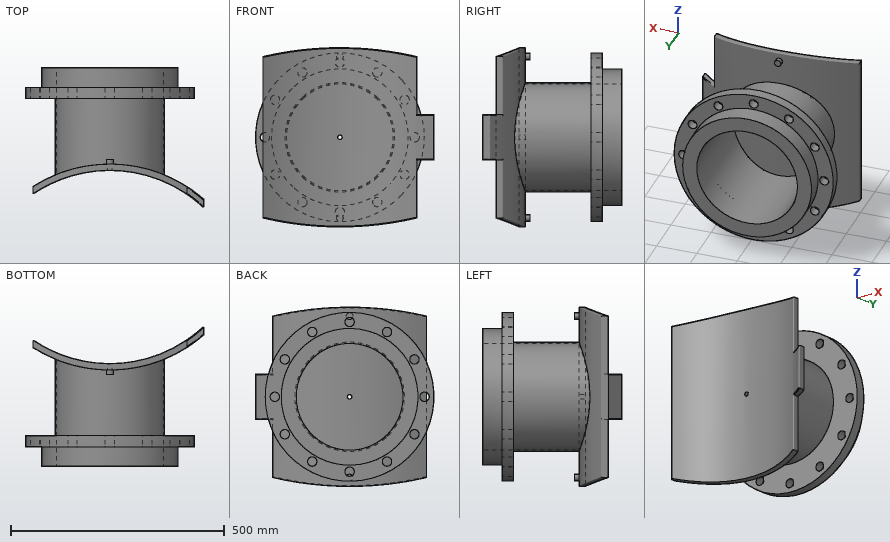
import cadquery as cq
import math

plate_inner_radius = 320.0
plate_thickness = 15.0
plate_outer_radius = plate_inner_radius + plate_thickness
plate_half_width = 180.0
plate_half_height = 210.0
plate_side_half_height = 189.0
plate_edge_radius = 2.0

tab_end_x = 220.0
tab_height = 106.0

pipe_diameter = 256.0
bore_diameter = 250.0
flange_diameter = 395.0
flange_thickness = 26.5
boss_diameter = 320.0
boss_length = 45.8
back_y = plate_outer_radius + 225.5
flange_back_y = back_y - boss_length
flange_front_y = flange_back_y - flange_thickness

bolt_count = 12
bolt_hole_diameter = 22.0
bolt_circle_radius = 175.0

center_hole_diameter = 10.0
pin_diameter = 16.0
pin_length = 11.0
pin_offset_z = 189.0


def cylinder_y(diameter, start_y, end_y, x=0, z=0):
    """Cylinder parallel to Y between two Y positions."""
    base = cq.Workplane("XZ", origin=(x, start_y, z))
    return base.circle(diameter / 2).extrude(start_y - end_y)


def saddle_plate():
    """Shell segment trimmed along Y to a bowed outline with a side tab, edges rounded."""
    outline = (
        cq.Workplane("XZ")
        .moveTo(-plate_half_width, -plate_side_half_height)
        .threePointArc((0, -plate_half_height), (plate_half_width, -plate_side_half_height))
        .lineTo(plate_half_width, -tab_height / 2)
        .lineTo(tab_end_x, -tab_height / 2)
        .lineTo(tab_end_x, tab_height / 2)
        .lineTo(plate_half_width, tab_height / 2)
        .lineTo(plate_half_width, plate_side_half_height)
        .threePointArc((0, plate_half_height), (-plate_half_width, plate_side_half_height))
        .close()
        .extrude(-plate_outer_radius)
    )
    shell = (
        cq.Workplane("XY", origin=(0, 0, -plate_half_height))
        .circle(plate_outer_radius)
        .circle(plate_inner_radius)
        .extrude(2 * plate_half_height)
    )
    return outline.intersect(shell).edges("not |Y").fillet(plate_edge_radius)


def pipe_body():
    """Pipe trimmed to the plate's outer surface, with flange and boss, bored through."""
    body = cylinder_y(pipe_diameter, 0, flange_front_y)
    body = body.union(cylinder_y(flange_diameter, flange_front_y, flange_back_y))
    body = body.union(cylinder_y(boss_diameter, flange_back_y, back_y))
    body = body.cut(cylinder_y(bore_diameter, 0, back_y))
    trim = (
        cq.Workplane("XY", origin=(0, 0, -plate_half_height))
        .circle(plate_inner_radius + plate_thickness / 2)
        .extrude(2 * plate_half_height)
    )
    return body.cut(trim)


def bolt_holes():
    """Ring of through holes in the flange."""
    holes = cq.Workplane()
    for index in range(bolt_count):
        angle = 2 * math.pi * index / bolt_count
        x = bolt_circle_radius * math.cos(angle)
        z = bolt_circle_radius * math.sin(angle)
        holes = holes.add(cylinder_y(bolt_hole_diameter, flange_front_y, flange_back_y, x, z))
    return holes.combine()


result = saddle_plate().union(pipe_body()).cut(bolt_holes())

pin_start_y = plate_outer_radius - plate_thickness / 2
for pin_z in (-pin_offset_z, pin_offset_z):
    result = result.union(cylinder_y(pin_diameter, pin_start_y, plate_outer_radius + pin_length, z=pin_z))

result = result.cut(cylinder_y(center_hole_diameter, 0, back_y))